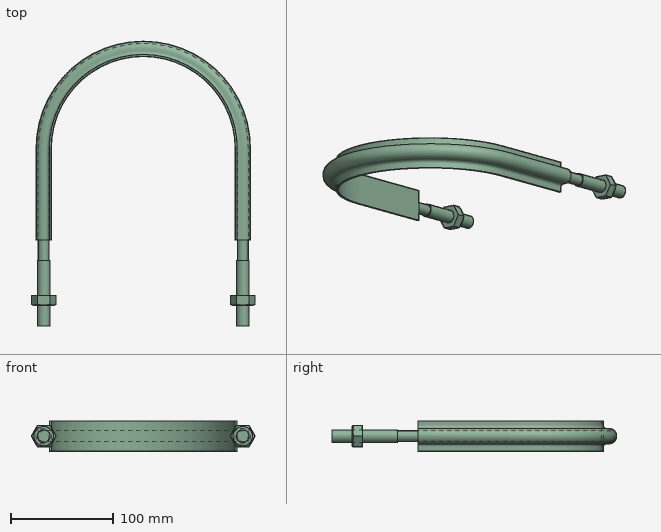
import cadquery as cq
import math

BEND_RADIUS = 97.5
SIDES = (-1, 1)

SHANK_DIAMETER = 10.8
THREAD_DIAMETER = 12.5
THREAD_LENGTH = 64.35
BARE_SHANK_LENGTH = 20.0

STRIP_INNER_RADIUS = 90.0
STRIP_THICKNESS = 2.0
STRIP_WIDTH = 30.0
SADDLE_LEG_LENGTH = 89.7
SHEATH_WALL = 2.1
ROOT_FILLET = 3.0

NUT_ACROSS_FLATS = 21.0
NUT_HEIGHT = 10.0
NUT_TO_ROD_END = 20.0
NUT_END_FACE_DIAMETER = 19.0
NUT_CHAMFER_ANGLE = 30.0

THREAD_START_Y = -(SADDLE_LEG_LENGTH + BARE_SHANK_LENGTH)
ROD_END_Y = THREAD_START_Y - THREAD_LENGTH
NUT_END_Y = ROD_END_Y + NUT_TO_ROD_END
STRIP_OUTER_RADIUS = STRIP_INNER_RADIUS + STRIP_THICKNESS
SHEATH_RADIUS = SHANK_DIAMETER / 2 + SHEATH_WALL


def xz_plane(y=0.0):
    """Section plane at height y: local x is X, local y is Z, normal is -Y."""
    return cq.Workplane("XZ", origin=(0, y, 0))


def sweep_u(make_section, leg_length):
    """Carry a section on the +X side around the bend, through +Y, and along both legs."""
    bend = make_section().revolve(180, (0, 0, 0), (0, 1, 0))
    leg = make_section().extrude(leg_length)
    return bend.union(leg).union(leg.mirror("YZ"))


def shank_section():
    return xz_plane().moveTo(BEND_RADIUS, 0).circle(SHANK_DIAMETER / 2)


def make_rod():
    """U-shaped shank whose two ends carry thicker threaded lengths."""
    rod = sweep_u(shank_section, -THREAD_START_Y)
    for side in SIDES:
        thread = (
            xz_plane(THREAD_START_Y)
            .center(side * BEND_RADIUS, 0)
            .circle(THREAD_DIAMETER / 2)
            .extrude(THREAD_LENGTH)
        )
        rod = rod.union(thread)
    return rod


def saddle_section():
    """Strip with a round-topped sheath rising outward from its middle."""
    half_width = STRIP_WIDTH / 2
    fillet_end = STRIP_OUTER_RADIUS + ROOT_FILLET
    fillet_root = SHEATH_RADIUS + ROOT_FILLET
    return (
        xz_plane()
        .moveTo(STRIP_INNER_RADIUS, -half_width)
        .lineTo(STRIP_OUTER_RADIUS, -half_width)
        .lineTo(STRIP_OUTER_RADIUS, -fillet_root)
        .radiusArc((fillet_end, -SHEATH_RADIUS), ROOT_FILLET)
        .lineTo(BEND_RADIUS, -SHEATH_RADIUS)
        .threePointArc((BEND_RADIUS + SHEATH_RADIUS, 0), (BEND_RADIUS, SHEATH_RADIUS))
        .lineTo(fillet_end, SHEATH_RADIUS)
        .radiusArc((STRIP_OUTER_RADIUS, fillet_root), ROOT_FILLET)
        .lineTo(STRIP_OUTER_RADIUS, half_width)
        .lineTo(STRIP_INNER_RADIUS, half_width)
        .close()
    )


def make_saddle():
    bore = sweep_u(shank_section, SADDLE_LEG_LENGTH)
    return sweep_u(saddle_section, SADDLE_LEG_LENGTH).cut(bore)


def make_nut(side):
    """Hex nut with two corners along X and its outer end chamfered to a cone."""
    x = side * BEND_RADIUS
    corner_radius = NUT_ACROSS_FLATS / math.sqrt(3)
    end_face_radius = NUT_END_FACE_DIAMETER / 2
    chamfer_depth = (corner_radius - end_face_radius) * math.tan(math.radians(NUT_CHAMFER_ANGLE))
    nut_start_y = NUT_END_Y + NUT_HEIGHT
    hexagon = xz_plane(nut_start_y).center(x, 0).polygon(6, 2 * corner_radius).extrude(NUT_HEIGHT)
    envelope = (
        cq.Workplane("XY", origin=(x, 0, 0))
        .moveTo(0, nut_start_y)
        .lineTo(corner_radius, nut_start_y)
        .lineTo(corner_radius, NUT_END_Y + chamfer_depth)
        .lineTo(end_face_radius, NUT_END_Y)
        .lineTo(0, NUT_END_Y)
        .close()
        .revolve(360, (0, 0, 0), (0, 1, 0))
    )
    bore = xz_plane(nut_start_y).center(x, 0).circle(THREAD_DIAMETER / 2).extrude(NUT_HEIGHT)
    return hexagon.intersect(envelope).cut(bore)


rod = make_rod()
saddle = make_saddle()
nuts = [make_nut(side) for side in SIDES]

bodies = [body.solids().val() for body in (rod, saddle, *nuts)]
result = cq.Compound.makeCompound(bodies)